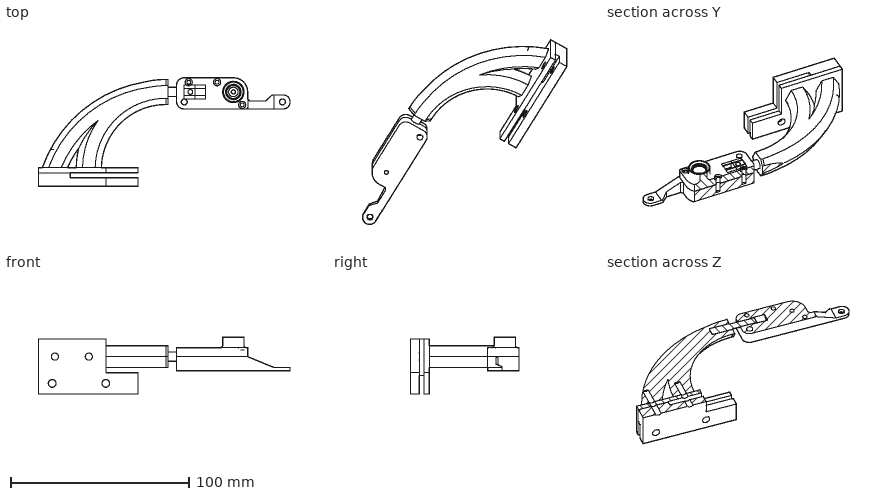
import cadquery as cq
import math

PLATE_LENGTH = 56.0
PLATE_HEIGHT = 31.0
UPPER_LENGTH = 38.0
LOWER_HEIGHT = 12.0
FRONT_THICKNESS = 5.0
SPACER_THICKNESS = 2.6
BACK_THICKNESS = 3.0
SPACER_LENGTH = 18.0
SPACER_BOTTOM = 10.3
BACK_FACE = FRONT_THICKNESS + SPACER_THICKNESS
ARM_FACE = BACK_FACE + BACK_THICKNESS

CLAMP_HOLE_DIAMETER = 4.2
CLAMP_HOLE_X = (7.8, 37.8)
CLAMP_HOLE_Z = 6.0
ARM_SCREW_DIAMETER = 4.0
ARM_SCREW_DEPTH = 10.0

AXIS_Y = 52.95
AXIS_Z = 21.0
ARM_ACROSS_CORNERS = 14.2
ARM_BEND_END_X = 71.5
ARM_END_X = 72.8
INNER_LEG_X = 28.3
OUTER_LEG_X = 9.3

ROD_DIAMETER = 5.3
ROD_BORE_DIAMETER = 5.34
ROD_DEPTH_IN_ARM = 12.0
ROD_END_X = 87.7

HOUSING_LEFT = 77.4
HOUSING_BACK = 60.95
HOUSING_FRONT = 43.35
HOUSING_BOTTOM = 13.0
COVER_TOP = 26.0
SOCKET_X = 109.3
BIG_CORNER_RADIUS = HOUSING_BACK - AXIS_Y
HOUSING_RIGHT = 117.4
SMALL_CORNER_RADIUS = 4.3
COVER_CORNER_RADIUS = 1.3

TAB_END_X = 141.16
TAB_WIDTH = 8.0
TAB_THICKNESS = 2.0
TAB_FLAT_START_X = 132.0
TAB_NECK_WIDTH = 4.6
TAB_NECK_START_X = 118.5
TAB_NECK_END_X = 127.4
TAB_FULL_WIDTH_X = 131.1
NECK_CHAMFER = 1.2
TAB_AXIS_Y = HOUSING_FRONT + TAB_WIDTH / 2
MOUNT_HOLE_DIAMETER = 3.2
MOUNT_HOLE_X = (81.8, 136.8)

SCREW_PLACES = ((84.3, 58.4), (100.2, 58.4), (114.25, 45.7))
SCREW_HEAD_DIAMETER = 4.0
SCREW_HEAD_DEPTH = 1.3
SCREW_DIAMETER = 2.2
SCREW_PILOT_DEPTH = 6.0

SLOT_LEFT = 81.6
SLOT_RIGHT = 93.7
SLOT_WIDTH = 3.9
CAVITY_WIDTH = 8.0
CAVITY_TOP = 25.6
BLOCK_HOLE_X = 85.2
BLOCK_HOLE_DIAMETER = 2.7
BLOCK_HOLE_DEPTH = 3.0

BOSS_DIAMETER = 12.0
BOSS_TOP = 32.0
BOSS_FILLET = 1.5
SOCKET_MOUTH_DIAMETER = 11.0
SPLINE_MINOR_DIAMETER = 8.36
SPLINE_MAJOR_DIAMETER = 8.76
SPLINE_GROOVE_DIAMETER = 0.5
SPLINE_COUNT = 25
SOCKET_MOUTH_DEPTH = 0.8
SPLINE_BOTTOM = 29.8
SOCKET_DIAMETER = 7.3
SOCKET_BOTTOM = 25.0
STEP_DIAMETER = 5.34
STEP_BOTTOM = 22.5
CONE_HEIGHT = 1.0
SPINDLE_HOLE_DIAMETER = 2.2


def box(x_range, y_range, z_range):
    size = [end - start for start, end in (x_range, y_range, z_range)]
    return cq.Workplane("XY").box(*size, centered=False).translate((x_range[0], y_range[0], z_range[0]))


def upright_cylinder(x, y, diameter, bottom, top):
    return cq.Workplane("XY", origin=(x, y, bottom)).circle(diameter / 2).extrude(top - bottom)


def cylinder_along_x(diameter, start_x, end_x):
    plane = cq.Workplane("YZ", origin=(start_x, AXIS_Y, AXIS_Z))
    return plane.circle(diameter / 2).extrude(end_x - start_x)


def cylinder_along_y(x, z, diameter, start_y, end_y):
    plane = cq.Workplane("XZ", origin=(x, start_y, z))
    return plane.circle(diameter / 2).extrude(start_y - end_y)


def plate(start_y, thickness):
    outline = (
        cq.Workplane("XZ", origin=(0, start_y, 0))
        .polyline([
            (0, 0),
            (PLATE_LENGTH, 0),
            (PLATE_LENGTH, LOWER_HEIGHT),
            (UPPER_LENGTH, LOWER_HEIGHT),
            (UPPER_LENGTH, PLATE_HEIGHT),
            (0, PLATE_HEIGHT),
        ])
        .close()
    )
    return outline.extrude(-thickness)


def drill_plate_holes(body):
    for x in CLAMP_HOLE_X:
        body = body.cut(cylinder_along_y(x, CLAMP_HOLE_Z, CLAMP_HOLE_DIAMETER, 0, ARM_FACE))
    return drill_arm_screws(body)


def drill_arm_screws(body):
    for x in (OUTER_LEG_X, INNER_LEG_X):
        body = body.cut(cylinder_along_y(x, AXIS_Z, ARM_SCREW_DIAMETER, 0, ARM_FACE + ARM_SCREW_DEPTH))
    return body


def make_front_plate():
    spacer = box((0, SPACER_LENGTH), (FRONT_THICKNESS, BACK_FACE), (SPACER_BOTTOM, PLATE_HEIGHT))
    return drill_plate_holes(plate(0, FRONT_THICKNESS).union(spacer))


def make_back_plate():
    return drill_plate_holes(plate(BACK_FACE, BACK_THICKNESS))


def bent_leg(leg_x):
    """Hexagonal bar bent on the circle that leaves the arm end along X and meets the plate at leg_x.

    Its width along the plate face equals the hexagon's, so a slanted leg is slimmer across.
    """
    run = ARM_BEND_END_X - leg_x
    rise = AXIS_Y - ARM_FACE
    bend_radius = (run**2 + rise**2) / (2 * rise)
    slant = math.asin((bend_radius - rise) / bend_radius)
    half_width = ARM_ACROSS_CORNERS / 2 * math.cos(slant)
    half_height = ARM_ACROSS_CORNERS / 2 * math.sin(math.radians(60))
    section = [
        (bend_radius + half_width, 0),
        (bend_radius + half_width / 2, half_height),
        (bend_radius - half_width / 2, half_height),
        (bend_radius - half_width, 0),
        (bend_radius - half_width / 2, -half_height),
        (bend_radius + half_width / 2, -half_height),
    ]
    centre = (ARM_BEND_END_X, AXIS_Y - bend_radius, AXIS_Z)
    bar = (
        cq.Workplane(cq.Plane(centre, xDir=(0, 1, 0), normal=(1, 0, 0)))
        .polyline(section)
        .close()
        .revolve(90, (0, 0, 0), (0, 1, 0))
    )
    below_plate = box((-ARM_END_X, ARM_END_X), (-PLATE_LENGTH, ARM_FACE), (0, PLATE_HEIGHT))
    return bar.cut(below_plate)


def make_arm():
    straight_end = (
        cq.Workplane("YZ", origin=(ARM_BEND_END_X, AXIS_Y, AXIS_Z))
        .polygon(6, ARM_ACROSS_CORNERS)
        .extrude(ARM_END_X - ARM_BEND_END_X)
    )
    body = bent_leg(OUTER_LEG_X).union(bent_leg(INNER_LEG_X)).union(straight_end)
    body = body.cut(cylinder_along_x(ROD_DIAMETER, ARM_END_X - ROD_DEPTH_IN_ARM, ARM_END_X))
    return drill_arm_screws(body)


def cavity_sides():
    return (AXIS_Y - CAVITY_WIDTH / 2, AXIS_Y + CAVITY_WIDTH / 2)


def make_rod():
    """Round rod whose far end carries a rectangular block with a blind hole in its top."""
    body = cylinder_along_x(ROD_DIAMETER, ARM_END_X - ROD_DEPTH_IN_ARM, ROD_END_X)
    body = body.union(box((SLOT_LEFT, ROD_END_X), cavity_sides(), (AXIS_Z, CAVITY_TOP)))
    hole_bottom = CAVITY_TOP - BLOCK_HOLE_DEPTH
    return body.cut(upright_cylinder(BLOCK_HOLE_X, AXIS_Y, BLOCK_HOLE_DIAMETER, hole_bottom, CAVITY_TOP))


def housing_block(bottom, top):
    block = box((HOUSING_LEFT, HOUSING_RIGHT), (HOUSING_FRONT, HOUSING_BACK), (bottom, top))
    block = block.edges("|Z and <X").fillet(SMALL_CORNER_RADIUS)
    return block.edges("|Z and >X and >Y").fillet(BIG_CORNER_RADIUS)


def tab():
    """Ear reaching out from the lower housing: a sloped neck ending in a thin round eye."""
    eye_x = TAB_END_X - TAB_WIDTH / 2
    neck_y = HOUSING_FRONT + TAB_NECK_WIDTH
    back_y = HOUSING_FRONT + TAB_WIDTH
    plan = (
        cq.Workplane("XY", origin=(0, 0, HOUSING_BOTTOM))
        .moveTo(SOCKET_X, HOUSING_FRONT)
        .lineTo(eye_x, HOUSING_FRONT)
        .threePointArc((TAB_END_X, TAB_AXIS_Y), (eye_x, back_y))
        .lineTo(TAB_FULL_WIDTH_X, back_y)
        .lineTo(TAB_NECK_END_X, neck_y)
        .lineTo(TAB_NECK_START_X, neck_y)
        .lineTo(TAB_NECK_START_X - NECK_CHAMFER, neck_y + NECK_CHAMFER)
        .lineTo(SOCKET_X, neck_y + NECK_CHAMFER)
        .close()
        .extrude(AXIS_Z - HOUSING_BOTTOM)
    )
    tab_top = HOUSING_BOTTOM + TAB_THICKNESS
    above_slope = (
        cq.Workplane("XZ", origin=(0, HOUSING_FRONT, 0))
        .polyline([
            (HOUSING_RIGHT, AXIS_Z),
            (TAB_FLAT_START_X, tab_top),
            (TAB_END_X, tab_top),
            (TAB_END_X, AXIS_Z),
        ])
        .close()
        .extrude(-TAB_WIDTH)
    )
    return plan.cut(above_slope)


def make_lower_housing():
    body = housing_block(HOUSING_BOTTOM, AXIS_Z).union(tab())
    for x in MOUNT_HOLE_X:
        body = body.cut(upright_cylinder(x, TAB_AXIS_Y, MOUNT_HOLE_DIAMETER, HOUSING_BOTTOM, AXIS_Z))
    for x, y in SCREW_PLACES:
        body = body.cut(upright_cylinder(x, y, SCREW_DIAMETER, AXIS_Z - SCREW_PILOT_DEPTH, AXIS_Z))
    body = body.cut(upright_cylinder(SOCKET_X, AXIS_Y, SPINDLE_HOLE_DIAMETER, HOUSING_BOTTOM, AXIS_Z))
    return body.cut(cylinder_along_x(ROD_BORE_DIAMETER, HOUSING_LEFT, SLOT_RIGHT))


def boss():
    """Round boss flaring into the cover."""
    radius = BOSS_DIAMETER / 2
    foot = COVER_TOP + BOSS_FILLET
    arc_drop = BOSS_FILLET * (1 - math.sin(math.radians(45)))
    return (
        cq.Workplane("XZ", origin=(SOCKET_X, AXIS_Y, 0))
        .moveTo(0, AXIS_Z)
        .lineTo(radius + BOSS_FILLET, AXIS_Z)
        .lineTo(radius + BOSS_FILLET, COVER_TOP)
        .threePointArc((radius + arc_drop, COVER_TOP + arc_drop), (radius, foot))
        .lineTo(radius, BOSS_TOP)
        .lineTo(0, BOSS_TOP)
        .close()
        .revolve(360, (0, 0, 0), (0, 1, 0))
    )


def socket():
    """Stepped bore of the boss: conical mouth, splined collar and narrowing stages below."""
    mouth_bottom = BOSS_TOP - SOCKET_MOUTH_DEPTH
    bore = (
        cq.Workplane("XZ", origin=(SOCKET_X, AXIS_Y, 0))
        .polyline([
            (0, BOSS_TOP),
            (SOCKET_MOUTH_DIAMETER / 2, BOSS_TOP),
            (SPLINE_MINOR_DIAMETER / 2, mouth_bottom),
            (SPLINE_MINOR_DIAMETER / 2, SPLINE_BOTTOM),
            (SOCKET_DIAMETER / 2, SPLINE_BOTTOM),
            (SOCKET_DIAMETER / 2, SOCKET_BOTTOM),
            (STEP_DIAMETER / 2, SOCKET_BOTTOM - CONE_HEIGHT),
            (STEP_DIAMETER / 2, STEP_BOTTOM),
            (SPINDLE_HOLE_DIAMETER / 2, STEP_BOTTOM - CONE_HEIGHT),
            (SPINDLE_HOLE_DIAMETER / 2, AXIS_Z),
            (0, AXIS_Z),
        ])
        .close()
        .revolve(360, (0, 0, 0), (0, 1, 0))
    )
    grooves = (
        cq.Workplane("XY", origin=(SOCKET_X, AXIS_Y, SPLINE_BOTTOM))
        .polarArray((SPLINE_MAJOR_DIAMETER - SPLINE_GROOVE_DIAMETER) / 2, 0, 360, SPLINE_COUNT)
        .circle(SPLINE_GROOVE_DIAMETER / 2)
        .extrude(BOSS_TOP - SPLINE_BOTTOM)
    )
    return bore.union(grooves)


def cut_slot(body):
    """Cavity in which the rod's block sits, with a narrower slot through the skin above it."""
    slot_sides = (AXIS_Y - SLOT_WIDTH / 2, AXIS_Y + SLOT_WIDTH / 2)
    body = body.cut(box((SLOT_LEFT, SLOT_RIGHT), cavity_sides(), (AXIS_Z, CAVITY_TOP)))
    return body.cut(box((SLOT_LEFT, SLOT_RIGHT), slot_sides, (AXIS_Z, COVER_TOP)))


def make_cover():
    body = housing_block(AXIS_Z, COVER_TOP).edges("|Z and >X and <Y").fillet(COVER_CORNER_RADIUS)
    body = body.union(boss()).cut(socket())
    body = body.cut(upright_cylinder(MOUNT_HOLE_X[0], TAB_AXIS_Y, MOUNT_HOLE_DIAMETER, AXIS_Z, COVER_TOP))
    for x, y in SCREW_PLACES:
        body = body.cut(upright_cylinder(x, y, SCREW_DIAMETER, AXIS_Z, BOSS_TOP))
        body = body.cut(upright_cylinder(x, y, SCREW_HEAD_DIAMETER, COVER_TOP - SCREW_HEAD_DEPTH, BOSS_TOP))
    body = cut_slot(body)
    return body.cut(cylinder_along_x(ROD_BORE_DIAMETER, HOUSING_LEFT, SLOT_RIGHT))


front_plate = make_front_plate()
back_plate = make_back_plate()
arm = make_arm()
rod = make_rod()
lower_housing = make_lower_housing()
cover = make_cover()

result = cq.Compound.makeCompound([
    front_plate.val(),
    back_plate.val(),
    arm.val(),
    rod.val(),
    lower_housing.val(),
    cover.val(),
])